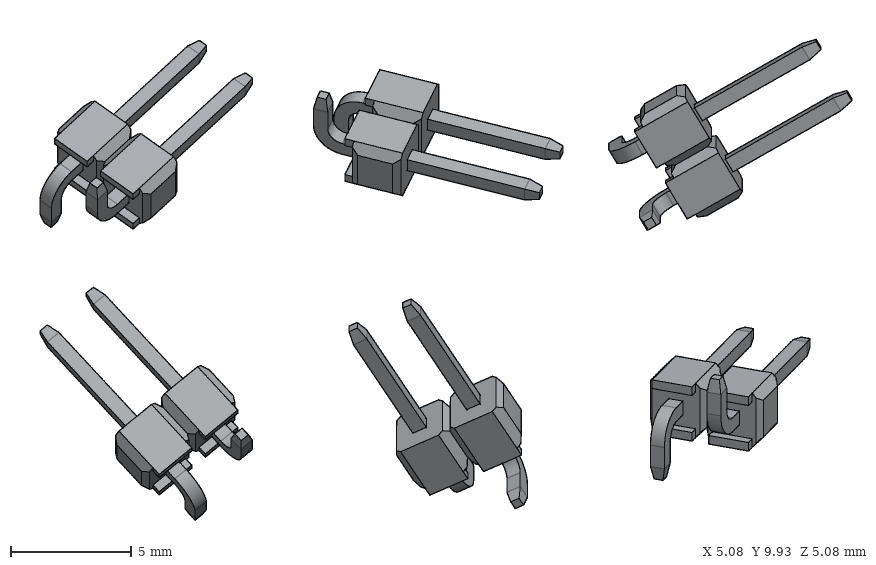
import cadquery as cq

PITCH = 2.54
PIN_COUNT = 2
ROW_START = -PITCH * (PIN_COUNT - 1) / 2

HOUSING_HEIGHT = 2.49
HOUSING_DEPTH = 2.15
BEVEL_X = 0.372
BEVEL_Z = 0.4
END_BEVEL_X = 0.19
END_BEVEL_Y = 0.31
RAIL_LENGTH = 0.4
RAIL_HEIGHT = BEVEL_Z
RAIL_WIDTH = PITCH - 2 * BEVEL_X

PIN_SIZE = 0.64
TIP_SIZE = 0.4
TIP_LENGTH = 0.61
OVERALL_LENGTH = 9.93
LEG_REACH = 2.54
BEND_START = 0.71
BEND_INNER_RADIUS = PIN_SIZE
BEND_OUTER_RADIUS = BEND_INNER_RADIUS + PIN_SIZE
LEG_FRONT = -(BEND_START + BEND_OUTER_RADIUS)
PIN_BACK = LEG_FRONT + OVERALL_LENGTH


def make_cell(x):
    """One bevelled housing block with its two standoff rails, centred at x."""
    half_width = PITCH / 2
    half_height = HOUSING_HEIGHT / 2
    half_rail = RAIL_WIDTH / 2
    side_half_height = half_height - BEVEL_Z
    end_half_width = half_width - END_BEVEL_X

    cross_section = [
        (-half_rail, -half_height),
        (half_rail, -half_height),
        (half_width, -side_half_height),
        (half_width, side_half_height),
        (half_rail, half_height),
        (-half_rail, half_height),
        (-half_width, side_half_height),
        (-half_width, -side_half_height),
    ]
    plan = [
        (-end_half_width, 0),
        (end_half_width, 0),
        (half_width, END_BEVEL_Y),
        (half_width, HOUSING_DEPTH - END_BEVEL_Y),
        (end_half_width, HOUSING_DEPTH),
        (-end_half_width, HOUSING_DEPTH),
        (-half_width, HOUSING_DEPTH - END_BEVEL_Y),
        (-half_width, END_BEVEL_Y),
    ]
    front_prism = cq.Workplane("XZ").polyline(cross_section).close().extrude(-HOUSING_DEPTH)
    plan_prism = cq.Workplane("XY").polyline(plan).close().extrude(half_height, both=True)
    cell = front_prism.intersect(plan_prism)

    rail_z = half_height - RAIL_HEIGHT / 2
    rails = (
        cq.Workplane("XZ")
        .pushPoints([(0, rail_z), (0, -rail_z)])
        .rect(RAIL_WIDTH, RAIL_HEIGHT)
        .extrude(RAIL_LENGTH)
    )
    return cell.union(rails).translate((x, 0, 0))


def make_tip(origin, direction):
    """Tapered square pin end starting at origin and pointing along direction."""
    base = cq.Plane(origin=origin, xDir=(1, 0, 0), normal=direction)
    return (
        cq.Workplane(base)
        .rect(PIN_SIZE, PIN_SIZE)
        .workplane(offset=TIP_LENGTH)
        .rect(TIP_SIZE, TIP_SIZE)
        .loft(ruled=True)
    )


def make_pin(x, leg_up):
    """Square pin at x whose front leg bends up or down."""
    bend_axis_z = -(PIN_SIZE / 2 + BEND_INNER_RADIUS)
    bend_radius = BEND_INNER_RADIUS + PIN_SIZE / 2
    leg_y = LEG_FRONT + PIN_SIZE / 2
    leg_end = TIP_LENGTH - LEG_REACH
    back_end = PIN_BACK - TIP_LENGTH

    path = (
        cq.Workplane("YZ")
        .moveTo(back_end, 0)
        .lineTo(-BEND_START, 0)
        .tangentArcPoint((-bend_radius, bend_axis_z), relative=True)
        .lineTo(leg_y, leg_end)
    )
    shank = (
        cq.Workplane("XZ", origin=(0, back_end, 0))
        .rect(PIN_SIZE, PIN_SIZE)
        .sweep(path)
    )
    pin = (
        shank
        .union(make_tip((0, back_end, 0), (0, 1, 0)))
        .union(make_tip((0, leg_y, leg_end), (0, 0, -1)))
    )
    if leg_up:
        pin = pin.mirror("XY")
    return pin.translate((x, 0, 0))


def make_housing(pin_positions):
    """Row of joined cells with a square through hole for each pin."""
    housing = make_cell(pin_positions[0])
    for x in pin_positions[1:]:
        housing = housing.union(make_cell(x))
    holes = (
        cq.Workplane("XZ")
        .pushPoints([(x, 0) for x in pin_positions])
        .rect(PIN_SIZE, PIN_SIZE)
        .extrude(-HOUSING_DEPTH)
    )
    return housing.cut(holes)


pin_positions = [ROW_START + i * PITCH for i in range(PIN_COUNT)]
housing = make_housing(pin_positions)

pins = []
for i, x in enumerate(pin_positions):
    pins.append(make_pin(x, leg_up=i % 2 == 1).solids().val())

result = cq.Compound.makeCompound([housing.solids().val(), *pins])